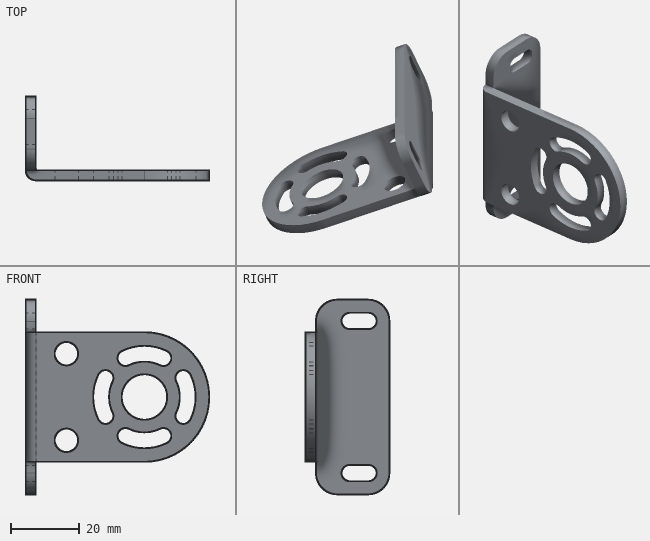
import cadquery as cq
import math

thickness = 3.05
length = 53.85
depth = 24.65
flange_height = 57.15
plate_height = 38.05
inner_bend_radius = 0.3

flange_corner_radius = 6.35
flange_slot_length = 10.25
flange_slot_width = 4.7
flange_slot_y = 15.7
flange_slot_z = 22.3

end_radius = plate_height / 2
hub_x = length - end_radius
hub_hole_diameter = 13.25
mount_hole_diameter = 6.8
mount_hole_x = 11.95
mount_hole_z = 12.7
arc_slot_radius = 12.7
arc_slot_width = 4.6
arc_slot_half_angle = 26.0
arc_slot_count = 4


def make_plate():
    """Rounded plate in the XZ plane, from the end of the bend outwards."""
    return (
        cq.Workplane("XZ")
        .moveTo(thickness, -end_radius)
        .lineTo(hub_x, -end_radius)
        .threePointArc((length, 0), (hub_x, end_radius))
        .lineTo(thickness, end_radius)
        .close()
        .extrude(-thickness)
    )


def make_flange():
    """Upright flange in the YZ plane, starting behind the plate."""
    flange_width = depth - thickness
    return (
        cq.Workplane("YZ")
        .center(thickness + flange_width / 2, 0)
        .rect(flange_width, flange_height)
        .extrude(thickness)
        .edges("|X")
        .fillet(flange_corner_radius)
    )


def make_outer_bend():
    """Quarter-round bend joining plate and flange, with the sheet thickness as its radius."""
    mid = thickness * (1 - math.sqrt(0.5))
    return (
        cq.Workplane("XY", origin=(0, 0, -end_radius))
        .moveTo(thickness, thickness)
        .lineTo(0, thickness)
        .threePointArc((mid, mid), (thickness, 0))
        .close()
        .extrude(plate_height)
    )


def make_inner_bend():
    """Small concave fillet between the plate and the flange."""
    r = inner_bend_radius
    mid = r * (1 - math.sqrt(0.5))
    return (
        cq.Workplane("XY", origin=(thickness, thickness, -end_radius))
        .lineTo(r, 0)
        .threePointArc((mid, mid), (0, r))
        .close()
        .extrude(plate_height)
    )


def make_flange_slots():
    return (
        cq.Workplane("YZ")
        .pushPoints([(flange_slot_y, -flange_slot_z), (flange_slot_y, flange_slot_z)])
        .slot2D(flange_slot_length, flange_slot_width)
        .extrude(thickness)
    )


def make_round_holes():
    hub_hole = cq.Workplane("XZ").center(hub_x, 0).circle(hub_hole_diameter / 2).extrude(-thickness)
    mount_holes = (
        cq.Workplane("XZ")
        .pushPoints([(mount_hole_x, -mount_hole_z), (mount_hole_x, mount_hole_z)])
        .circle(mount_hole_diameter / 2)
        .extrude(-thickness)
    )
    return hub_hole.union(mount_holes)


def make_arc_slot(middle_angle):
    """Round-ended slot following a circle about the hub, centred on an angle in degrees."""
    def at(radius, offset):
        angle = math.radians(middle_angle + offset)
        return (hub_x + radius * math.cos(angle), radius * math.sin(angle))

    inner = arc_slot_radius - arc_slot_width / 2
    outer = arc_slot_radius + arc_slot_width / 2
    band = (
        cq.Workplane("XZ")
        .moveTo(*at(inner, -arc_slot_half_angle))
        .threePointArc(at(inner, 0), at(inner, arc_slot_half_angle))
        .lineTo(*at(outer, arc_slot_half_angle))
        .threePointArc(at(outer, 0), at(outer, -arc_slot_half_angle))
        .close()
        .extrude(-thickness)
    )
    ends = (
        cq.Workplane("XZ")
        .pushPoints([at(arc_slot_radius, -arc_slot_half_angle), at(arc_slot_radius, arc_slot_half_angle)])
        .circle(arc_slot_width / 2)
        .extrude(-thickness)
    )
    return band.union(ends)


result = make_plate().union(make_outer_bend()).union(make_flange()).union(make_inner_bend())
result = result.cut(make_flange_slots()).cut(make_round_holes())
for index in range(arc_slot_count):
    result = result.cut(make_arc_slot(index * 360 / arc_slot_count))